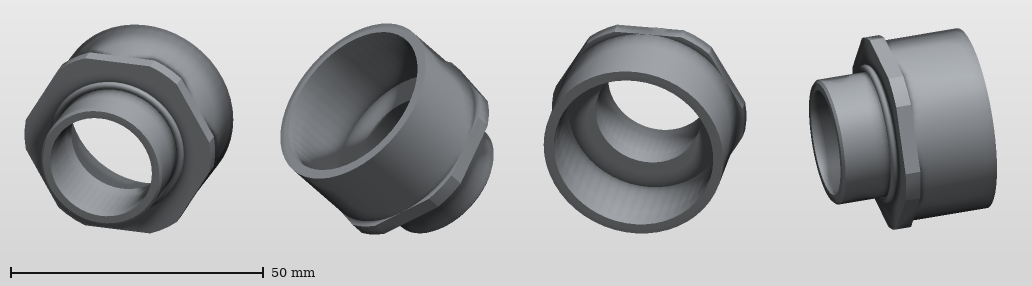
import cadquery as cq

corner_diameter = 38.45
across_flats = 36.0
spigot_diameter = 25.0
bore_diameter = 21.0
socket_bore_diameter = 32.0

total_length = 30.0
socket_length = 16.0
flange_thickness = 3.05

spigot_chamfer = 0.5
seal_section_diameter = 1.5
seal_squeeze = 0.08

flange_back = total_length - socket_length
flange_front = flange_back - flange_thickness


def cylinder(diameter, start, end):
    """Cylinder on the part axis between two Y positions."""
    plane = cq.Workplane("XZ", origin=(0, start, 0))
    return plane.circle(diameter / 2).extrude(start - end)


def make_flange():
    """Hexagon with flats facing +Z and -Z and its corners turned round."""
    hexagon = (
        cq.Workplane("XZ", origin=(0, flange_front, 0))
        .transformed(rotate=(0, 0, 30))
        .polygon(6, across_flats, circumscribed=True)
        .extrude(-flange_thickness)
    )
    return hexagon.intersect(cylinder(corner_diameter, flange_front, flange_back))


def make_seal_ring():
    """O-ring pressed slightly into the spigot and the flange face."""
    section_radius = seal_section_diameter / 2
    ring_radius = spigot_diameter / 2 + section_radius - seal_squeeze
    ring_y = flange_front - section_radius + seal_squeeze
    return (
        cq.Workplane("XY")
        .center(ring_radius, ring_y)
        .circle(section_radius)
        .revolve(360, (-ring_radius, 0, 0), (-ring_radius, 1, 0))
    )


socket = cylinder(across_flats, flange_back, total_length)
spigot = cylinder(spigot_diameter, 0, flange_front).faces("<Y").chamfer(spigot_chamfer)
body = socket.union(make_flange()).union(spigot).union(make_seal_ring())

through_bore = cylinder(bore_diameter, 0, total_length)
socket_bore = cylinder(socket_bore_diameter, flange_back, total_length)
result = body.cut(through_bore).cut(socket_bore)